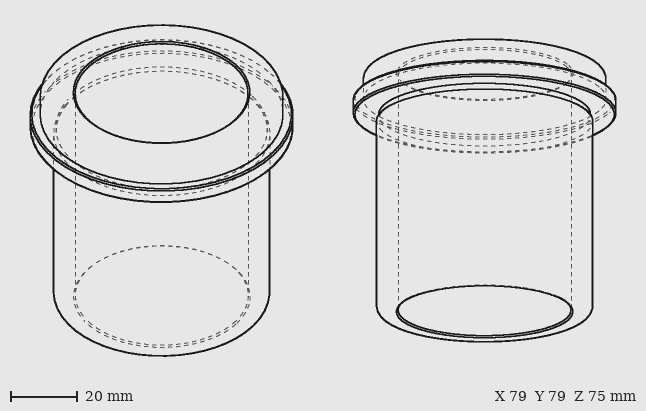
import cadquery as cq
import math

total_height = 75.0
bore_diameter = 52.0
bore_chamfer = 0.5

head_diameter = 73.0
head_height = 8.0
head_edge_radius = 2.0

flange_diameter = 79.0
flange_thickness = 5.0
flange_chamfer = 0.5

body_diameter = 65.0
body_end_radius = 2.0

relief_height = 2.0
relief_arc_radius = 1.5
relief_depth = 0.8

flange_bottom = 0.0
flange_top = flange_bottom + flange_thickness
head_top = flange_top + head_height
body_bottom = head_top - total_height
relief_bottom = flange_bottom - relief_height


def cylinder(diameter, bottom, top):
    """Solid cylinder on the Z axis between two levels."""
    return cq.Workplane("XY").workplane(offset=bottom).circle(diameter / 2).extrude(top - bottom)


def make_head():
    head = cylinder(head_diameter, flange_top, head_top)
    return head.faces(">Z").edges().fillet(head_edge_radius)


def make_flange():
    flange = cylinder(flange_diameter, flange_bottom, flange_top)
    return flange.faces("<Z or >Z").edges().chamfer(flange_chamfer)


def make_body():
    body = cylinder(body_diameter, body_bottom, relief_bottom)
    return body.faces("<Z").edges().fillet(body_end_radius)


def make_relief():
    """Neck under the flange, hollowed by an arc that starts at the body edge."""
    body_radius = body_diameter / 2
    arc_center_radius = body_radius - relief_depth + relief_arc_radius
    deepest_rise = math.sqrt(relief_arc_radius**2 - (arc_center_radius - body_radius) ** 2)
    arc_center_level = relief_bottom + deepest_rise
    top_rise = flange_bottom - arc_center_level
    top_radius = arc_center_radius - math.sqrt(relief_arc_radius**2 - top_rise**2)
    profile = (
        cq.Workplane("XZ")
        .moveTo(0, relief_bottom)
        .lineTo(body_radius, relief_bottom)
        .threePointArc(
            (body_radius - relief_depth, arc_center_level),
            (top_radius, flange_bottom),
        )
        .lineTo(0, flange_bottom)
        .close()
    )
    return profile.revolve(360, (0, 0, 0), (0, 1, 0))


def make_bore():
    """Cutting tool for the through bore, flared at both mouths."""
    tool = cylinder(bore_diameter, body_bottom, head_top)
    mouth_diameter = bore_diameter + 2 * bore_chamfer
    for mouth_level, inward in ((head_top, -1), (body_bottom, 1)):
        mouth = (
            cq.Workplane("XY", origin=(0, 0, mouth_level))
            .circle(mouth_diameter / 2)
            .workplane(offset=inward * bore_chamfer)
            .circle(bore_diameter / 2)
            .loft()
        )
        tool = tool.union(mouth)
    return tool


bushing = make_body().union(make_relief()).union(make_flange()).union(make_head())
result = bushing.cut(make_bore())